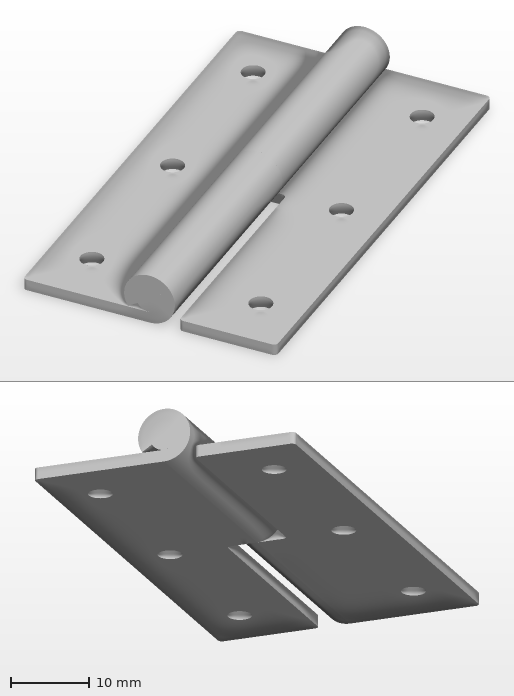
import cadquery as cq
import math

open_width = 36.0
hinge_length = 64.0
sheet_thickness = 1.6
pin_diameter = 4.0
knuckle_clearance = 0.6
curl_sweep = 302.0
corner_radius = 0.6
screw_hole_diameter = 3.2
screw_hole_offset = 12.0
screw_hole_pitch = 24.0

pin_radius = pin_diameter / 2
knuckle_radius = pin_radius + sheet_thickness
knuckle_length = hinge_length / 2
leaf_reach = open_width / 2
relief_edge = knuckle_radius + knuckle_clearance
leaf_bottom = -knuckle_radius


def polar(radius, angle):
    """Point in the XZ section at an angle in degrees from +X."""
    return (radius * math.cos(math.radians(angle)), radius * math.sin(math.radians(angle)))


def leaf_plate():
    """Flat of the left leaf outside the knuckle, full length, with rounded corners and screw holes."""
    plate_width = leaf_reach - relief_edge
    plate = (
        cq.Workplane("XY", origin=(-(leaf_reach + relief_edge) / 2, 0, leaf_bottom))
        .rect(plate_width, hinge_length)
        .extrude(sheet_thickness)
    )
    outer_corners = plate.edges("|Z and <X")
    free_corner = plate.edges("|Z and >X and >Y")
    plate = plate.newObject(outer_corners.vals() + free_corner.vals()).fillet(corner_radius)
    screw_holes = (
        cq.Workplane("XY", origin=(-screw_hole_offset, 0, leaf_bottom))
        .rarray(1, screw_hole_pitch, 1, 3)
        .circle(screw_hole_diameter / 2)
        .extrude(sheet_thickness)
    )
    return plate.cut(screw_holes)


def rolled_knuckle():
    """Strip that continues the left leaf under the pin and rolls around it, over the front half."""
    start_angle = -90.0
    middle_angle = start_angle + curl_sweep / 2
    end_angle = start_angle + curl_sweep
    return (
        cq.Workplane("XZ")
        .moveTo(-relief_edge, -knuckle_radius)
        .lineTo(0, -knuckle_radius)
        .threePointArc(polar(knuckle_radius, middle_angle), polar(knuckle_radius, end_angle))
        .lineTo(*polar(pin_radius, end_angle))
        .threePointArc(polar(pin_radius, middle_angle), (0, -pin_radius))
        .lineTo(-relief_edge, -pin_radius)
        .close()
        .extrude(knuckle_length)
    )


def hinge_leaf():
    """One complete leaf, lying on the -X side with its knuckle on the -Y half."""
    leaf = leaf_plate().union(rolled_knuckle())
    relief_corner = cq.selectors.NearestToPointSelector((-relief_edge, 0, leaf_bottom + sheet_thickness / 2))
    return leaf.edges("|Z").edges(relief_corner).fillet(corner_radius)


def hinge_pin():
    """Plain pin running the full length through both knuckles."""
    return cq.Workplane("XZ").circle(pin_radius).extrude(knuckle_length, both=True)


leaves = [hinge_leaf().rotate((0, 0, 0), (0, 0, 1), turn) for turn in (0, 180)]
pin = hinge_pin()

result = cq.Compound.makeCompound([*(leaf.val() for leaf in leaves), pin.val()])